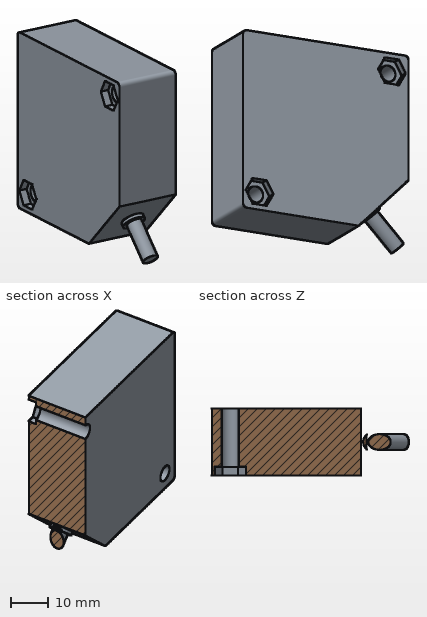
import cadquery as cq
import math

envelope = 52.85
body_size = 50.0
thickness = 18.0
corner_radius = 1.2
corner_cut = 15.0

hole_inset = 5.0
hole_diameter = 4.5
nut_flats = 7.2
nut_depth = 2.3

gland_diameter = 6.3
gland_length = 1.1
cable_diameter = 4.35

bottom = envelope - body_size
cut_middle = body_size - corner_cut / 2
cable_end = envelope - cable_diameter / 2 * math.sin(math.radians(45))
cable_length = (cable_end - cut_middle) * math.sqrt(2)


def make_housing():
    """Square block with three rounded corners and one large 45 degree cut."""
    outline = [
        (0, bottom),
        (body_size - corner_cut, bottom),
        (body_size, bottom + corner_cut),
        (body_size, envelope),
        (0, envelope),
    ]
    block = cq.Workplane("XZ").polyline(outline).close().extrude(-thickness)
    return block.edges("|Y and (<X or >Z)").fillet(corner_radius)


def cut_mounting_holes(body):
    """Two through holes, each with a hexagonal nut pocket on the -Y face."""
    centers = [
        (hole_inset, bottom + hole_inset),
        (body_size - hole_inset, envelope - hole_inset),
    ]
    across_corners = nut_flats / math.cos(math.radians(30))
    plane = cq.Workplane("XZ").pushPoints(centers)
    holes = plane.circle(hole_diameter / 2).extrude(-thickness)
    pockets = plane.polygon(6, across_corners).extrude(-nut_depth)
    return body.cut(holes).cut(pockets)


def make_cable():
    """Gland collar and cable stub leaving the middle of the corner cut."""
    exit_plane = cq.Plane(
        origin=(cut_middle, thickness / 2, envelope - cut_middle),
        xDir=(0, 1, 0),
        normal=(1, 0, -1),
    )
    gland = cq.Workplane(exit_plane).circle(gland_diameter / 2).extrude(gland_length)
    cable = cq.Workplane(exit_plane).circle(cable_diameter / 2).extrude(cable_length)
    return gland.union(cable)


result = cut_mounting_holes(make_housing()).union(make_cable())